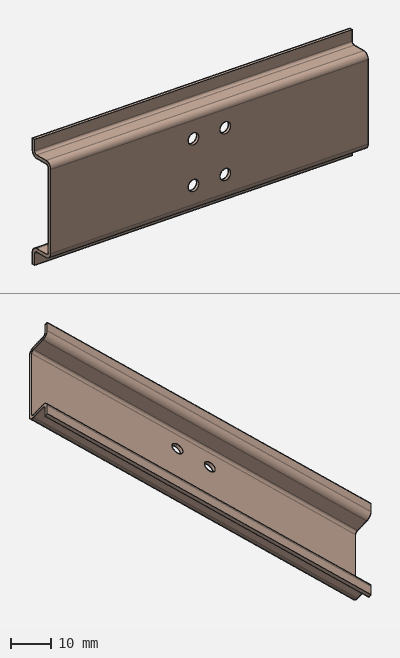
import cadquery as cq

length = 100.0
depth = 7.5
height = 35.0

thickness = 1.0
channel_height = 27.0
inner_bend = 0.8
outer_bend = inner_bend + thickness

hole_diameter = 3.3
hole_pitch_y = 10.0
hole_pitch_z = 13.0
hole_center_y = 0.0

half_depth = depth / 2
half_height = height / 2
half_channel = channel_height / 2


def rail_profile():
    """Closed top-hat section in XZ: flanges at -X, web at +X."""
    flange_face = -half_depth
    flange_back = flange_face + thickness
    web_face = half_depth
    web_inside = web_face - thickness
    wall_inside = half_channel - thickness
    upper_half = [
        (web_face, half_channel),
        (flange_back, half_channel),
        (flange_back, half_height),
        (flange_face, half_height),
        (flange_face, wall_inside),
        (web_inside, wall_inside),
    ]
    lower_half = [(x, -z) for x, z in reversed(upper_half)]
    return cq.Workplane("XZ").polyline(upper_half + lower_half).close()


def edges_at(x, z):
    """Select the lengthwise bend edges at a given X and at +Z and -Z."""
    tolerance = thickness / 10
    selector = None
    for level in (z, -z):
        around = cq.selectors.BoxSelector(
            (x - tolerance, -length, level - tolerance),
            (x + tolerance, length, level + tolerance),
        )
        selector = around if selector is None else selector + around
    return selector & cq.selectors.ParallelDirSelector(cq.Vector(0, 1, 0))


def round_bends(rail):
    """Round both sides of the four sheet bends with concentric radii."""
    wall_inside = half_channel - thickness
    rail = rail.edges(edges_at(half_depth, half_channel)).fillet(outer_bend)
    rail = rail.edges(edges_at(half_depth - thickness, wall_inside)).fillet(inner_bend)
    rail = rail.edges(edges_at(-half_depth, wall_inside)).fillet(outer_bend)
    return rail.edges(edges_at(-half_depth + thickness, half_channel)).fillet(inner_bend)


def mounting_holes():
    """Two by two pattern of cutters along X."""
    return (
        cq.Workplane("YZ")
        .center(hole_center_y, 0)
        .rarray(hole_pitch_y, hole_pitch_z, 2, 2)
        .circle(hole_diameter / 2)
        .extrude(depth)
    )


rail = round_bends(rail_profile().extrude(length / 2, both=True))
result = rail.cut(mounting_holes())